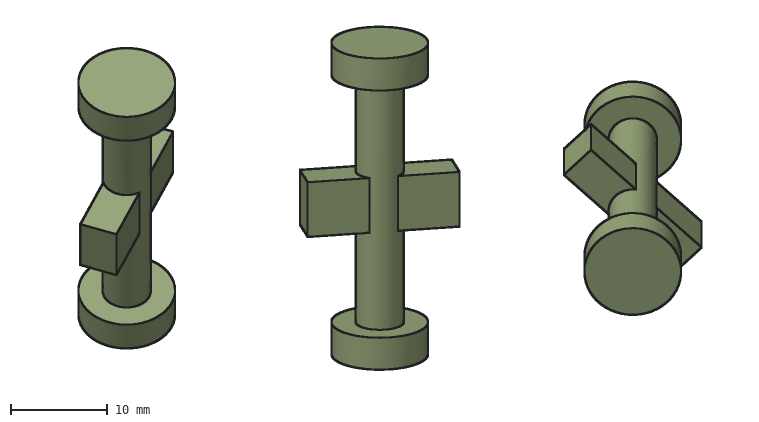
import cadquery as cq

total_height = 34.0
disc_diameter = 10.0
disc_thickness = 3.5
shaft_diameter = disc_diameter / 2
bar_width = 4.0
bar_length = 16.0
bar_height = 6.0


def end_disc(base_z):
    """Flat round disc whose lower face lies at base_z."""
    return cq.Workplane("XY").workplane(offset=base_z).circle(disc_diameter / 2).extrude(disc_thickness)


shaft = cq.Workplane("XY").cylinder(total_height, shaft_diameter / 2)

cross_bar = cq.Workplane("XY").box(bar_width, bar_length, bar_height)

result = shaft.union(cross_bar)
for base_z in (-total_height / 2, total_height / 2 - disc_thickness):
    result = result.union(end_disc(base_z))